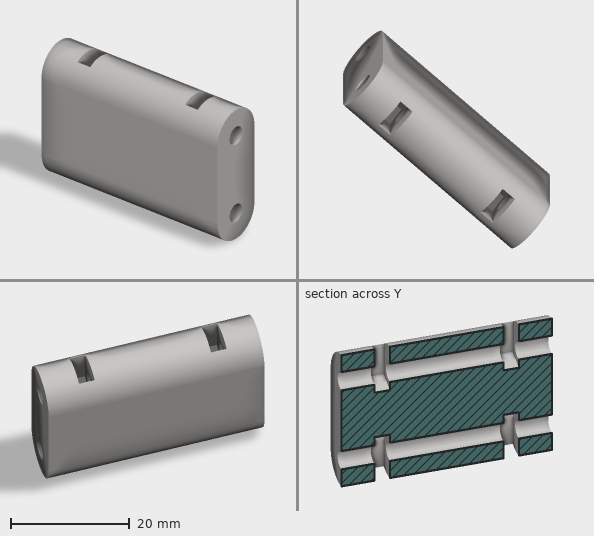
import cadquery as cq
import math

length = 38.0
thickness = 10.0
height = 25.0
end_radius = thickness / 2
hole_offset = height / 2 - end_radius

hole_diameter = 3.4
nut_across_flats = 5.6
nut_corner_radius = nut_across_flats / math.sqrt(3)
slot_width = 2.75
slot_end_distance = 6.0
slot_center_x = length / 2 - slot_end_distance - slot_width / 2


def make_body():
    """Obround block, extruded along X and centred on the origin."""
    return (
        cq.Workplane("YZ")
        .slot2D(height, thickness, angle=90)
        .extrude(length / 2, both=True)
    )


def make_hole(side):
    """Bolt hole running the full length; side is +1 for top, -1 for bottom."""
    return (
        cq.Workplane("YZ")
        .center(0, side * hole_offset)
        .circle(hole_diameter / 2)
        .extrude(length / 2, both=True)
    )


def make_nut_slot(center_x, side):
    """Slot open to the rounded edge, with a half-hexagon floor that seats a nut."""
    half_width = nut_across_flats / 2
    open_z = side * height / 2
    floor_corner_z = side * (hole_offset - nut_corner_radius / 2)
    floor_point_z = side * (hole_offset - nut_corner_radius)
    return (
        cq.Workplane("YZ", origin=(center_x, 0, 0))
        .moveTo(-half_width, open_z)
        .lineTo(-half_width, floor_corner_z)
        .lineTo(0, floor_point_z)
        .lineTo(half_width, floor_corner_z)
        .lineTo(half_width, open_z)
        .close()
        .extrude(slot_width / 2, both=True)
    )


result = make_body()
for side in (1, -1):
    result = result.cut(make_hole(side))
    for center_x in (-slot_center_x, slot_center_x):
        result = result.cut(make_nut_slot(center_x, side))